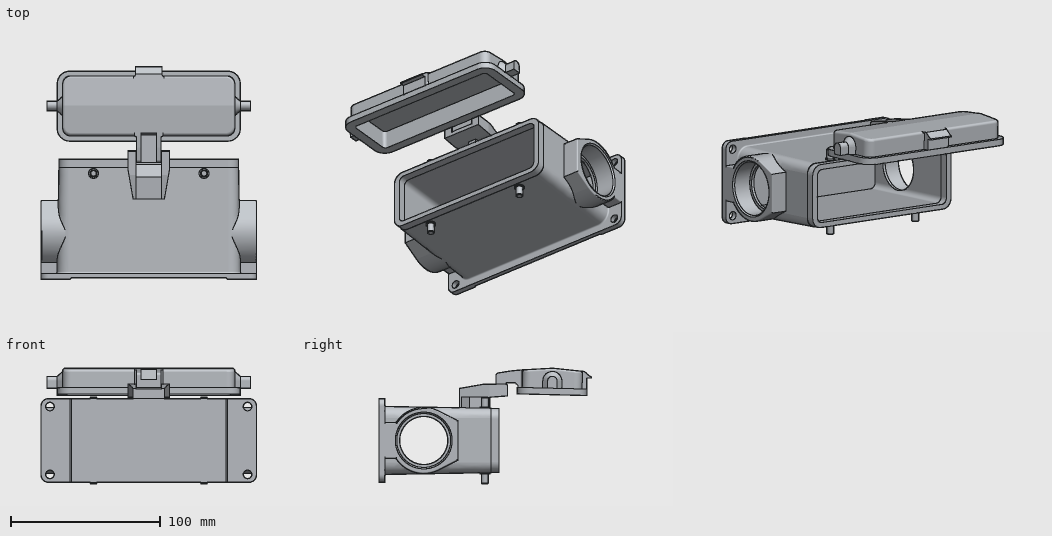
import cadquery as cq
import math


plate_length, plate_height, plate_thickness = 144.0, 56.0, 4.0
plate_corner_radius = 5.0
screw_hole_diameter = 5.6
screw_spacing_x, screw_spacing_z = 132.0, 45.2
relief_half_length, relief_depth = 52.6, 1.0

shell_half_length, shell_half_height = 61.3, 22.8
shell_front_y = 74.8
shell_draft = 1.0
shell_corner_radius = 7.8
shell_root_fillet = 1.0
cavity_half_length, cavity_half_height = 56.0, 18.0
cavity_corner_radius = 4.0
cavity_floor_y = 6.0

entry_center_y = 30.0
entry_radius = 22.1
entry_tangent_y = 40.0
entry_top_y = 52.8
entry_neck_half_height = 12.0
entry_edge_fillet = 0.8
entry_bore_diameter, entry_bore_depth = 36.0, 14.0
entry_bore_chamfer = 1.0
entry_hole_diameter = 32.0

peg_spacing, peg_y = 73.8, 70.8
peg_tip_z = 29.0
peg_diameter, peg_chamfer = 4.7, 0.5
peg_collar_diameter, peg_collar_top_z = 6.6, 22.4

seal_half_length, seal_half_height = 60.1, 21.4
seal_corner_radius = 7.0
seal_front_y = 80.4

lid_center_y, lid_bottom_z = 115.65, 30.5
lid_tilt = 1.4
flange_half_length, flange_half_width = 61.2, 23.4
flange_thickness, flange_corner_radius = 4.4, 8.5
dome_half_length, dome_half_width = 57.5, 20.0
dome_corner_radius, dome_edge_fillet = 5.4, 1.8
dome_edge_height, dome_ridge_height = 16.25, 17.85
lid_cavity_height, lid_wall = 13.0, 3.0
trunnion_height = 9.2
trunnion_radius, trunnion_end_x = 3.15, 68.1
trunnion_boss_radius = 6.4
tab_half_width = 8.9
tab_outer_y, tab_lip_y = 139.0, 142.16
tab_lip_top_z, tab_lip_bottom_z = 42.4, 41.6
tab_slope_foot_y, tab_slope_foot_z = 140.6, 43.2
tab_shoulder_offset = 1.2
arm_half_width, arm_end_y = 8.2, 78.2
arm_bottom_z, arm_tip_z = 38.4, 44.9
arm_bend_y, arm_bend_z = 88.0, 46.5
arm_seat_length = 6.9
arm_notch_y, arm_notch_bevel = 92.8, 1.6
arm_pocket_half_width, arm_pocket_floor_z = 5.1, 40.7
arm_pocket_floor_end_y, arm_pocket_top_end_y = 96.3, 98.0
arm_tip_radius = 1.8
arm_seat_z = 32.5
root_fillet = 1.2

bracket_back_y, bracket_front_y = 86.1, 53.8
bracket_back_half_width, bracket_front_half_width = 14.0, 10.5
bracket_taper_y = 74.2
bracket_channel_half_width = 8.4
bracket_top_z, bracket_bottom_z = 37.6, 29.2
bracket_back_bottom_z, bracket_taper_bottom_z = 29.7, 28.8
bracket_back_chamfer = 0.8
bracket_front_top_z = 34.8
bracket_slope_y = 69.7
bracket_crest_y, bracket_crest_z = 68.5, 35.4
bracket_valley_y = 76.7
bracket_front_floor_z = 34.3
bracket_foot_z = 21.5
bracket_wall_thickness = 1.5
bracket_leg_half_width = 3.0
bracket_leg_front_y = 60.5


def rounded_bar(half_x, half_z, corner_radius, y_start, y_end):
    """Bar along Y whose four long edges are rounded."""
    return (
        cq.Workplane("XZ", origin=(0, y_start, 0))
        .rect(2 * half_x, 2 * half_z)
        .extrude(y_start - y_end)
        .edges("|Y")
        .fillet(corner_radius)
    )


def rounded_slab(half_x, half_y, corner_radius, z_start, z_end):
    """Slab along Z whose four upright edges are rounded."""
    return (
        cq.Workplane("XY", origin=(0, 0, z_start))
        .rect(2 * half_x, 2 * half_y)
        .extrude(z_end - z_start)
        .edges("|Z")
        .fillet(corner_radius)
    )


def side_profile(points, half_width):
    """Closed outline of (Y, Z) points extruded equally to both sides of X = 0."""
    return cq.Workplane("YZ").polyline(points).close().extrude(half_width, both=True)



def make_plate():
    plate = rounded_bar(plate_length / 2, plate_height / 2, plate_corner_radius, 0, plate_thickness)
    screw_holes = (
        cq.Workplane("XZ")
        .rect(screw_spacing_x, screw_spacing_z, forConstruction=True)
        .vertices()
        .circle(screw_hole_diameter / 2)
        .extrude(-plate_thickness)
    )
    relief = (
        cq.Workplane("XY", origin=(0, 0, -plate_height / 2))
        .polyline([
            (-relief_half_length, 0),
            (relief_half_length, 0),
            (relief_half_length - relief_depth, relief_depth),
            (-relief_half_length + relief_depth, relief_depth),
        ])
        .close()
        .extrude(plate_height)
    )
    return plate.cut(screw_holes).cut(relief)


def make_shell():
    return (
        cq.Workplane("XZ", origin=(0, plate_thickness, 0))
        .sketch()
        .rect(2 * shell_half_length, 2 * shell_half_height)
        .vertices()
        .fillet(shell_corner_radius)
        .finalize()
        .extrude(-(shell_front_y - plate_thickness), taper=shell_draft)
    )


def make_entry(side):
    """Cable entry boss: a round end, flanks tangent to it, and a neck down to the plate."""
    tangent_rise = entry_tangent_y - entry_center_y
    tangent_z = math.sqrt(entry_radius**2 - tangent_rise**2)
    top_z = tangent_z - (entry_top_y - entry_tangent_y) * tangent_rise / tangent_z
    neck_y = entry_center_y - math.sqrt(entry_radius**2 - entry_neck_half_height**2)
    outer_x = plate_length / 2
    boss = (
        cq.Workplane("YZ", origin=(side * outer_x, 0, 0))
        .moveTo(plate_thickness / 2, entry_neck_half_height)
        .lineTo(neck_y, entry_neck_half_height)
        .threePointArc((entry_center_y, entry_radius), (entry_tangent_y, tangent_z))
        .lineTo(entry_top_y, top_z)
        .lineTo(entry_top_y, -top_z)
        .lineTo(entry_tangent_y, -tangent_z)
        .threePointArc((entry_center_y, -entry_radius), (neck_y, -entry_neck_half_height))
        .lineTo(plate_thickness / 2, -entry_neck_half_height)
        .close()
        .extrude(-side * (outer_x - cavity_half_length + cavity_corner_radius))
    )
    outer_face = ">X" if side > 0 else "<X"
    rim = boss.faces(outer_face).edges(cq.selectors.BoxSelector(
        (-plate_length, plate_thickness, -plate_height), (plate_length, plate_length, plate_height)))
    return rim.fillet(entry_edge_fillet)


def make_entry_bore(side):
    bore_radius = entry_bore_diameter / 2
    mouth_radius = bore_radius + entry_bore_chamfer
    hole_radius = entry_hole_diameter / 2
    outer_x = plate_length / 2
    step_x = outer_x - entry_bore_depth
    return (
        cq.Workplane("XY", origin=(0, entry_center_y, 0))
        .polyline([
            (0, 0),
            (side * outer_x, 0),
            (side * outer_x, mouth_radius),
            (side * (outer_x - entry_bore_chamfer), bore_radius),
            (side * step_x, bore_radius),
            (side * step_x, hole_radius),
            (0, hole_radius),
        ])
        .close()
        .revolve(360, (0, 0, 0), (1, 0, 0))
    )


def make_peg(x, side):
    base_z = cavity_half_height
    collar = (
        cq.Workplane("XY", origin=(x, peg_y, side * base_z))
        .circle(peg_collar_diameter / 2)
        .extrude(side * (peg_collar_top_z - base_z))
    )
    peg = (
        cq.Workplane("XY", origin=(x, peg_y, side * base_z))
        .circle(peg_diameter / 2)
        .extrude(side * (peg_tip_z - base_z))
        .faces(">Z" if side > 0 else "<Z")
        .chamfer(peg_chamfer)
    )
    return collar.union(peg)


def make_housing():
    body = make_plate().union(make_shell())
    margin = 0.1
    root_edges = cq.selectors.BoxSelector(
        (-shell_half_length - margin, plate_thickness - margin, -shell_half_height - margin),
        (shell_half_length + margin, plate_thickness + margin, shell_half_height + margin),
    )
    body = body.edges(root_edges).fillet(shell_root_fillet)
    for side in (-1, 1):
        body = body.union(make_entry(side))
        for x in (-peg_spacing / 2, peg_spacing / 2):
            body = body.union(make_peg(x, side))
    cavity = rounded_bar(
        cavity_half_length, cavity_half_height, cavity_corner_radius, cavity_floor_y, shell_front_y)
    body = body.cut(cavity)
    for side in (-1, 1):
        body = body.cut(make_entry_bore(side))
    return body



def make_seal():
    outer = rounded_bar(
        seal_half_length, seal_half_height, seal_corner_radius, shell_front_y, seal_front_y)
    opening = rounded_bar(
        cavity_half_length, cavity_half_height, cavity_corner_radius, shell_front_y, seal_front_y)
    return outer.cut(opening)



def make_dome():
    """Lid body with a gabled top; local Z = 0 is the bottom of the flange."""
    plan = rounded_slab(dome_half_length, dome_half_width, dome_corner_radius, 0, 2 * dome_ridge_height)
    gable = (
        cq.Workplane("YZ")
        .moveTo(-dome_half_width, 0)
        .lineTo(-dome_half_width, dome_edge_height)
        .lineTo(0, dome_ridge_height)
        .lineTo(dome_half_width, dome_edge_height)
        .lineTo(dome_half_width, 0)
        .close()
        .extrude(dome_half_length, both=True)
    )
    margin = 0.1
    top_edges = cq.selectors.BoxSelector(
        (-dome_half_length - margin, -dome_half_width - margin, dome_edge_height - margin),
        (dome_half_length + margin, dome_half_width + margin, dome_ridge_height - margin),
    )
    return plan.intersect(gable).edges(top_edges).fillet(dome_edge_fillet)


def trunnion_outline(x, radius):
    """Arch standing on the flange: straight sides under a half round."""
    return (
        cq.Workplane("YZ", origin=(x, 0, 0))
        .moveTo(-radius, flange_thickness)
        .lineTo(-radius, trunnion_height)
        .threePointArc((0, trunnion_height + radius), (radius, trunnion_height))
        .lineTo(radius, flange_thickness)
        .close()
    )


def make_trunnion(side):
    root_x = side * (dome_half_length - lid_wall)
    flange_x = side * flange_half_length
    pin = trunnion_outline(root_x, trunnion_radius).extrude(side * trunnion_end_x - root_x)
    wide = trunnion_outline(side * dome_half_length, trunnion_boss_radius).val()
    narrow = trunnion_outline(flange_x, trunnion_radius).val()
    boss = cq.Workplane(cq.Solid.makeLoft([wide, narrow], True))
    return pin.union(boss)


def make_lid_shell():
    shell = rounded_slab(
        flange_half_length, flange_half_width, flange_corner_radius, 0, flange_thickness)
    shell = shell.union(make_dome())
    for side in (-1, 1):
        shell = shell.union(make_trunnion(side))
    shell = shell.rotate((0, 0, 0), (1, 0, 0), -lid_tilt)
    return shell.translate((0, lid_center_y, lid_bottom_z))


def make_lid_cavity():
    cavity = rounded_slab(
        dome_half_length - lid_wall,
        dome_half_width - lid_wall,
        dome_corner_radius - lid_wall,
        0,
        lid_cavity_height,
    )
    cavity = cavity.rotate((0, 0, 0), (1, 0, 0), -lid_tilt)
    return cavity.translate((0, lid_center_y, lid_bottom_z))


def roof_point(offset_y):
    """Global (Y, Z) of the roof plane at a local distance from the ridge, with the lid's tilt."""
    slope = (dome_ridge_height - dome_edge_height) / dome_half_width
    height = dome_ridge_height - slope * abs(offset_y)
    tilt = math.radians(-lid_tilt)
    return (
        lid_center_y + offset_y * math.cos(tilt) - height * math.sin(tilt),
        lid_bottom_z + offset_y * math.sin(tilt) + height * math.cos(tilt),
    )


def flared_plan(half_width, side, end_y):
    """Upright block from inside the lid to end_y, with concave fillets where it leaves the lid wall."""
    inner_y = lid_center_y + side * (dome_half_width - lid_wall)
    root_y = lid_center_y + side * dome_half_width
    fillet_y = root_y + side * root_fillet
    wide = half_width + root_fillet
    middle = root_fillet * (1 - math.sqrt(0.5))
    return (
        cq.Workplane("XY", origin=(0, 0, lid_bottom_z))
        .moveTo(-wide, inner_y)
        .lineTo(-wide, root_y)
        .threePointArc((-half_width - middle, root_y + side * middle), (-half_width, fillet_y))
        .lineTo(-half_width, end_y)
        .lineTo(half_width, end_y)
        .lineTo(half_width, fillet_y)
        .threePointArc((half_width + middle, root_y + side * middle), (wide, root_y))
        .lineTo(wide, inner_y)
        .close()
        .extrude(2 * dome_ridge_height)
    )


def make_tab():
    """Finger tab with a pointed lip on the far edge of the lid."""
    overlap = dome_half_width - lid_wall
    base_z = lid_bottom_z + flange_thickness / 2
    tab = side_profile([
        roof_point(overlap),
        roof_point(dome_half_width + tab_shoulder_offset),
        (tab_slope_foot_y, tab_slope_foot_z),
        (tab_lip_y, tab_lip_top_z),
        (tab_lip_y, tab_lip_bottom_z),
        (tab_outer_y, tab_lip_bottom_z),
        (tab_outer_y, base_z),
        (lid_center_y + overlap, base_z),
    ], tab_half_width + root_fillet)
    return tab.intersect(flared_plan(tab_half_width, 1, tab_lip_y))


def make_arm():
    """Hinge arm: two ribs with a web between them, resting in the bracket's channel."""
    overlap = dome_half_width - lid_wall
    seat_back_y = arm_end_y + arm_seat_length
    base_z = lid_bottom_z + flange_thickness / 2
    arm = side_profile([
        roof_point(-overlap),
        roof_point(-dome_half_width),
        (arm_bend_y, arm_bend_z),
        (arm_end_y, arm_tip_z),
        (arm_end_y, arm_seat_z),
        (seat_back_y, arm_seat_z),
        (seat_back_y, arm_bottom_z),
        (arm_notch_y - arm_notch_bevel, arm_bottom_z),
        (arm_notch_y, arm_bottom_z - arm_notch_bevel),
        (arm_notch_y, base_z),
        (lid_center_y - overlap, base_z),
    ], arm_half_width + root_fillet)
    tip_edge = cq.selectors.NearestToPointSelector((0, arm_end_y, arm_tip_z))
    arm = arm.edges("|X").edges(tip_edge).fillet(arm_tip_radius)
    return arm.intersect(flared_plan(arm_half_width, -1, arm_end_y))


def make_arm_pocket():
    """Open channel between the ribs, ending in a steep slope at the lid."""
    above_z = lid_bottom_z + dome_ridge_height
    return side_profile([
        (arm_end_y, arm_pocket_floor_z),
        (arm_pocket_floor_end_y, arm_pocket_floor_z),
        (arm_pocket_top_end_y, above_z),
        (arm_end_y, above_z),
    ], arm_pocket_half_width)


def make_lid():
    lid = make_lid_shell().union(make_tab()).union(make_arm())
    return lid.cut(make_arm_pocket()).cut(make_lid_cavity())



def make_bracket():
    plan = (
        cq.Workplane("XY", origin=(0, 0, bracket_foot_z))
        .polyline([
            (-bracket_back_half_width, bracket_back_y),
            (bracket_back_half_width, bracket_back_y),
            (bracket_back_half_width, bracket_taper_y),
            (bracket_front_half_width, bracket_front_y),
            (-bracket_front_half_width, bracket_front_y),
            (-bracket_back_half_width, bracket_taper_y),
        ])
        .close()
        .extrude(bracket_top_z - bracket_foot_z)
    )
    side = side_profile([
        (bracket_back_y, bracket_back_bottom_z),
        (bracket_back_y, bracket_top_z - bracket_back_chamfer),
        (bracket_back_y - bracket_back_chamfer, bracket_top_z),
        (bracket_slope_y, bracket_top_z),
        (bracket_front_y, bracket_front_top_z),
        (bracket_front_y, bracket_foot_z),
        (bracket_front_y + bracket_wall_thickness, bracket_foot_z),
        (bracket_front_y + bracket_wall_thickness, bracket_bottom_z),
        (bracket_taper_y, bracket_taper_bottom_z),
    ], bracket_back_half_width)
    channel = side_profile([
        (bracket_front_y, bracket_front_floor_z),
        (bracket_crest_y, bracket_crest_z),
        (bracket_valley_y, arm_seat_z),
        (bracket_back_y, arm_seat_z),
        (bracket_back_y, bracket_top_z),
        (bracket_front_y, bracket_top_z),
    ], bracket_channel_half_width)
    wall_back_y = bracket_front_y + bracket_wall_thickness
    leg = (
        cq.Workplane("XY", origin=(0, 0, bracket_foot_z))
        .polyline([
            (-bracket_front_half_width, wall_back_y),
            (-bracket_leg_half_width, bracket_leg_front_y),
            (-bracket_leg_half_width, bracket_taper_y),
            (bracket_leg_half_width, bracket_taper_y),
            (bracket_leg_half_width, bracket_leg_front_y),
            (bracket_front_half_width, wall_back_y),
        ])
        .close()
        .extrude(bracket_bottom_z - bracket_foot_z)
    )
    return plan.intersect(side).cut(channel).union(leg)


housing = make_housing()
seal = make_seal()
lid = make_lid()
bracket = make_bracket().cut(housing)

result = cq.Compound.makeCompound([housing.val(), seal.val(), lid.val(), bracket.val()])